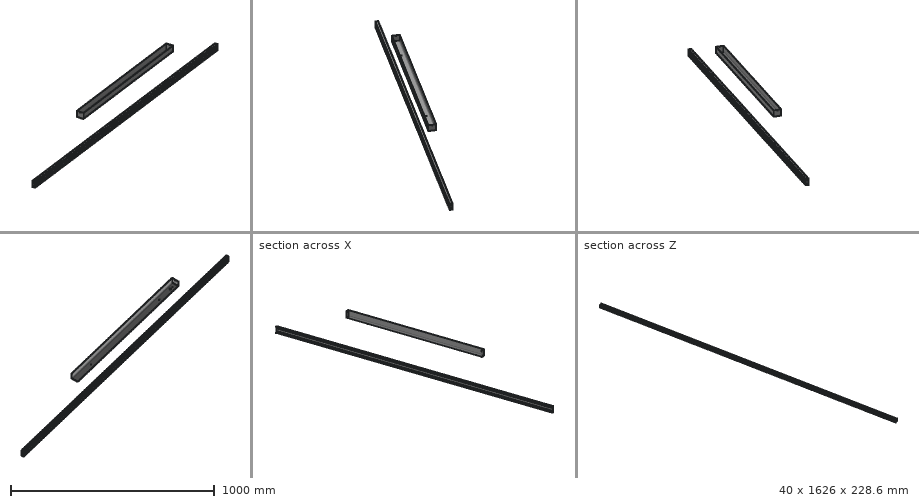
import cadquery as cq

overall_height = 228.55
top_level = overall_height / 2
bottom_level = -overall_height / 2

tray_width = 40.0
tray_length = 798.0
tray_height = 35.0
tray_wall = 1.0
tray_end_wall = 2.0
tray_outer_radius = 3.0
tray_inner_radius = 2.4
tray_bottom = top_level - tray_height

fixing_hole_diameter = 2.46
fixing_hole_y = 270.0
cable_hole_diameter = 8.0
cable_hole_y = 360.0
pilot_hole_diameter = 2.0
pilot_hole_y = 375.0

end_hole_diameter = 2.0
end_hole_below_top = 4.0

rail_width = 15.0
rail_height = 35.0
rail_length = 1626.0
rail_side_wall = 1.0
rail_top_wall = 1.0
rail_bottom_wall = 2.0
cap_thickness = 1.0
profile_length = rail_length - 2 * cap_thickness
rail_top = bottom_level + rail_height

ledge_thickness = 4.0
ledge_slot_width = 8.0
upper_ledge_below_top = 7.0
lower_ledge_below_top = 26.0


def centred_box(width, length, bottom, top):
    """Box centred on X and Y between two levels."""
    base = cq.Workplane("XY", origin=(0, 0, bottom))
    return base.box(width, length, top - bottom, centered=(True, True, False))


def floor_hole(y, diameter):
    """Drill through the tray floor."""
    return cq.Workplane("XY", origin=(0, y, tray_bottom)).circle(diameter / 2).extrude(tray_wall)


def make_tray():
    tray = centred_box(tray_width, tray_length, tray_bottom, top_level)
    tray = tray.edges("|Y and <Z").fillet(tray_outer_radius)

    inside_width = tray_width - 2 * tray_wall
    inside_length = tray_length - 2 * tray_end_wall
    inside = centred_box(inside_width, inside_length, tray_bottom + tray_wall, top_level)
    tray = tray.cut(inside.edges("|Y and <Z").fillet(tray_inner_radius))

    for side in (-1, 1):
        tray = tray.cut(floor_hole(side * fixing_hole_y, fixing_hole_diameter))
    tray = tray.cut(floor_hole(cable_hole_y, cable_hole_diameter))
    tray = tray.cut(floor_hole(pilot_hole_y, pilot_hole_diameter))

    end_drill = cq.Workplane("XZ", origin=(0, 0, top_level - end_hole_below_top))
    end_drill = end_drill.circle(end_hole_diameter / 2).extrude(tray_length / 2, both=True)
    return tray.cut(end_drill)


def make_rail_profile():
    cavity_bottom = bottom_level + rail_bottom_wall
    cavity_top = rail_top - rail_top_wall
    cavity_width = rail_width - 2 * rail_side_wall

    profile = centred_box(rail_width, profile_length, bottom_level, rail_top)
    profile = profile.cut(centred_box(cavity_width, profile_length, cavity_bottom, cavity_top))

    for below_top in (upper_ledge_below_top, lower_ledge_below_top):
        ledge_top = rail_top - below_top
        ledge_bottom = ledge_top - ledge_thickness
        ledges = centred_box(cavity_width, profile_length, ledge_bottom, ledge_top)
        ledges = ledges.cut(centred_box(ledge_slot_width, profile_length, ledge_bottom, ledge_top))
        profile = profile.union(ledges)
    return profile


def make_end_cap(side):
    """Plate over the rail end at -Y (side -1) or +Y (side 1)."""
    cap = centred_box(rail_width, cap_thickness, bottom_level, rail_top)
    return cap.translate((0, side * (rail_length - cap_thickness) / 2, 0))


tray = make_tray()
rail_profile = make_rail_profile()
end_caps = [make_end_cap(side) for side in (-1, 1)]

result = cq.Compound.makeCompound(
    [tray.solids().val(), rail_profile.solids().val(), *[cap.val() for cap in end_caps]]
)